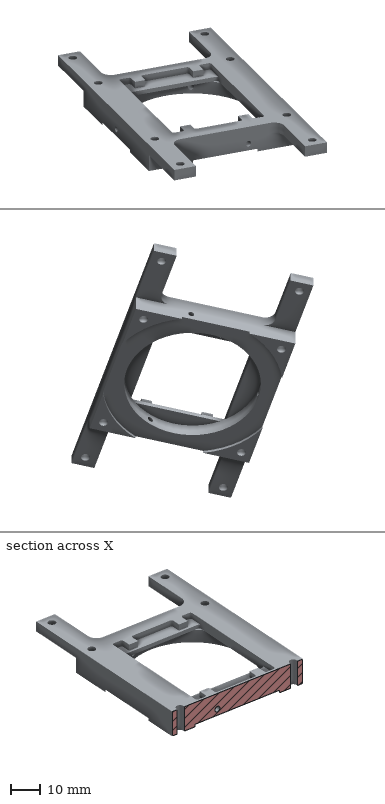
import cadquery as cq

length = 101.6
body_size = 57.1
height = 10.0
plate_thickness = 4.0
arm_width = 8.1
arm_fillet = 3.7

mount_hole_diameter = 3.0
inner_hole_spacing = 49.4
outer_hole_spacing = 93.9
hole_row_spacing = inner_hole_spacing

pocket_length = 47.3
pocket_shift = -0.7
opening_width = 34.4
pocket_depth = 2.4
pocket_corner_radius = 0.8
window_length = 36.2
window_corner_radius = 0.8
bore_diameter = 47.0
bore_ceiling_depth = plate_thickness

tab_reach = 4.0
tab_width = 3.9
tab_spacing = 21.7

recess_diameter = 62.0
recess_depth = 1.0
side_hole_diameter = 2.0
side_hole_z = 3.6
side_hole_offset = 8.7


def make_frame():
    """Square body below an H-shaped top plate with filleted arm roots."""
    body = cq.Workplane("XY").box(body_size, body_size, height, centered=(True, True, False))
    plate = (
        cq.Workplane("XY", origin=(0, 0, height - plate_thickness))
        .box(length, body_size, plate_thickness, centered=(True, True, False))
    )
    gap_length = (length - body_size) / 2
    for side in (-1, 1):
        gap = (
            cq.Workplane("XY")
            .box(2 * gap_length, body_size - 2 * arm_width, height, centered=(True, True, False))
            .edges("|Z").fillet(arm_fillet)
            .translate((side * length / 2, 0, 0))
        )
        plate = plate.cut(gap)
    return body.union(plate)


def make_pocket():
    """Shallow top pocket, interrupted by four tabs on its short sides."""
    pocket = cq.Workplane("XY").box(
        pocket_length, opening_width, pocket_depth, centered=(True, True, False)
    )
    for side_x in (-1, 1):
        for side_y in (-1, 1):
            tab = (
                cq.Workplane("XY")
                .box(2 * tab_reach, tab_width, pocket_depth, centered=(True, True, False))
                .translate((side_x * pocket_length / 2, side_y * tab_spacing / 2, 0))
            )
            pocket = pocket.cut(tab)
    pocket = pocket.edges("|Z and (<X or >X)").fillet(pocket_corner_radius)
    return pocket.translate((pocket_shift, 0, height - pocket_depth))


def make_opening():
    """Pocket, rectangular window and the round bore beneath it."""
    window = (
        cq.Workplane("XY", origin=(0, 0, height - bore_ceiling_depth))
        .box(window_length, opening_width, bore_ceiling_depth - pocket_depth, centered=(True, True, False))
        .edges("|Z").fillet(window_corner_radius)
    )
    bore = cq.Workplane("XY").circle(bore_diameter / 2).extrude(height - bore_ceiling_depth)
    return make_pocket().union(window).union(bore)


result = make_frame().cut(make_opening())

for hole_spacing in (inner_hole_spacing, outer_hole_spacing):
    result = (
        result.faces(">Z").workplane(origin=(0, 0, height))
        .rarray(hole_spacing, hole_row_spacing, 2, 2)
        .hole(mount_hole_diameter)
    )

result = result.cut(cq.Workplane("XY").circle(recess_diameter / 2).extrude(recess_depth))

cross_hole = (
    cq.Workplane("YZ", origin=(-length / 2, 0, 0))
    .center(side_hole_offset, side_hole_z).circle(side_hole_diameter / 2).extrude(length)
)
front_hole = (
    cq.Workplane("XZ").center(0, side_hole_z)
    .circle(side_hole_diameter / 2).extrude(body_size / 2)
)
result = result.cut(cross_hole).cut(front_hole)